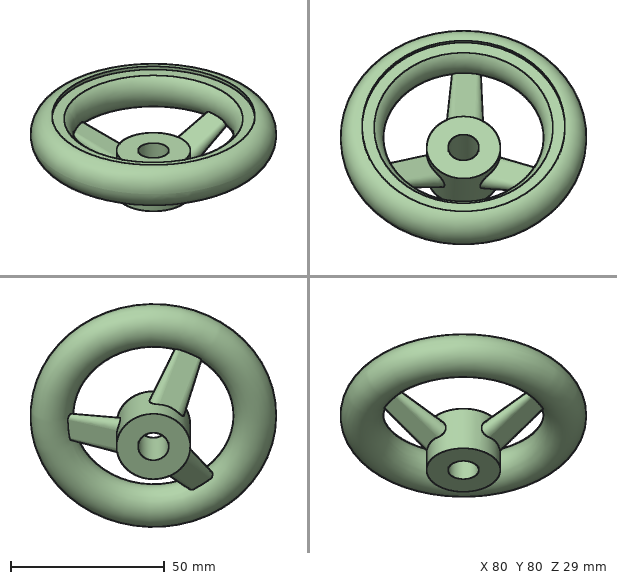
import cadquery as cq
import math

outer_diameter = 80.0
rim_section_diameter = 14.0
rim_section_radius = rim_section_diameter / 2
rim_center_radius = outer_diameter / 2 - rim_section_radius
step_depth = 1.2

overall_height = 29.0
hub_diameter = 24.0
hub_height = 16.0
bore_diameter = 10.0
rim_center_height = overall_height - rim_section_radius

spoke_count = 3
first_spoke_angle = 90.0
spoke_flat_width = 6.6
spoke_inner_radius = 8.0
spoke_inner_height = 8.2
spoke_inner_thickness = 6.2
spoke_outer_radius = 30.4
spoke_outer_height = 20.3
spoke_outer_thickness = 2.2


def make_rim():
    torus = (
        cq.Workplane("XZ")
        .center(rim_center_radius, rim_center_height)
        .circle(rim_section_radius)
        .revolve(360, (-rim_center_radius, 0), (-rim_center_radius, 1))
    )
    step = (
        cq.Workplane("XY")
        .workplane(offset=overall_height - step_depth)
        .circle(rim_center_radius)
        .extrude(step_depth)
    )
    return torus.cut(step)


def make_hub():
    return cq.Workplane("XY").circle(hub_diameter / 2).extrude(hub_height)


def make_spoke():
    """Loft one spoke along +X between two ovals square to its sloping axis."""
    run = spoke_outer_radius - spoke_inner_radius
    rise = spoke_outer_height - spoke_inner_height
    section_plane = cq.Plane(
        origin=(spoke_inner_radius, 0, spoke_inner_height),
        xDir=(0, 1, 0),
        normal=(run, 0, rise),
    )
    return (
        cq.Workplane(section_plane)
        .slot2D(spoke_flat_width + spoke_inner_thickness, spoke_inner_thickness)
        .workplane(offset=math.hypot(run, rise))
        .slot2D(spoke_flat_width + spoke_outer_thickness, spoke_outer_thickness)
        .loft(ruled=True)
    )


wheel = make_rim().union(make_hub())
spoke = make_spoke()
for index in range(spoke_count):
    angle = first_spoke_angle + index * 360 / spoke_count
    wheel = wheel.union(spoke.rotate((0, 0, 0), (0, 0, 1), angle))

bore = cq.Workplane("XY").circle(bore_diameter / 2).extrude(hub_height)
result = wheel.cut(bore)